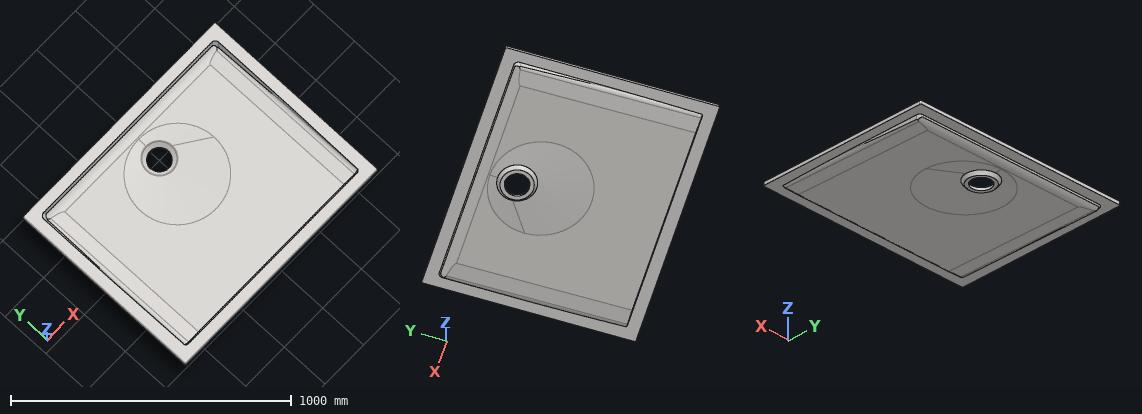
import cadquery as cq
import math

LENGTH = 1000.0
WIDTH = 800.0
HEIGHT = 55.0
RIM_THICKNESS = 18.0
RIM_CORNER_RADIUS = 6.0
RIM_TOP_RADIUS = 3.0
SHELL_THICKNESS = 12.0
SIDE_WALL_GROWTH = 8.0

OPENING_LENGTH = 906.0
OPENING_WIDTH = 710.0
OPENING_CORNER_RADIUS = 20.0
WALL_DRAFT = 30.0
DRAFT_RUN = math.tan(math.radians(WALL_DRAFT))
FRONT_Y = -OPENING_WIDTH / 2
BACK_Y = OPENING_WIDTH / 2

FRONT_DEPTH = 13.0
FLOOR_SLOPE = 0.018
FLAT_HALF_LENGTH = 377.0
SIDE_STRIP_END = 430.0
SIDE_STRIP_RISE = 3.0
SIDE_BLEND_WIDTH = 18.0
SIDE_BLEND_RISE = 8.0
SIDE_BLEND_SAG = 2.0

BLEND_START_Y = 304.0
BLEND_END_DEPTH = 13.0
BLEND_END_Y = BACK_Y - BLEND_END_DEPTH * DRAFT_RUN
BLEND_SAG = 3.5

DISH_RADIUS = 190.0
DISH_Y = 112.0
DISH_BOTTOM_RADIUS = 64.0
DISH_BOTTOM_DEPTH = 28.0

DRAIN_Y = 200.0
DRAIN_EDGE_RADIUS = 6.0
DRAIN_LIP_DEPTH = 43.0
DRAIN_HOLE_RADIUS = 45.0
BOSS_TOP_RADIUS = 73.0
BOSS_BOTTOM_RADIUS = 61.0
BOSS_TOP_DEPTH = DISH_BOTTOM_DEPTH + SHELL_THICKNESS

MARGIN = 50.0


def floor_z(y):
    """Height of the middle of the floor at the given Y."""
    return -FRONT_DEPTH - FLOOR_SLOPE * (y - FRONT_Y)


def arc_middle(start, end, sag):
    """Middle of an arc that bulges to the right of the line from start to end."""
    chord = math.dist(start, end)
    return (
        (start[0] + end[0]) / 2 + sag * (end[1] - start[1]) / chord,
        (start[1] + end[1]) / 2 - sag * (end[0] - start[0]) / chord,
    )


def drafted_opening(side_growth):
    """Rounded rectangle, narrowing downwards, that bounds the recess walls."""
    return (
        cq.Workplane("XY")
        .rect(OPENING_LENGTH + 2 * side_growth, OPENING_WIDTH)
        .extrude(-HEIGHT, taper=WALL_DRAFT)
        .edges("not(|X or |Y)")
        .fillet(OPENING_CORNER_RADIUS)
    )


def lengthwise_floor():
    """Space above the floor seen along X: sloping floor, back blend and back wall."""
    start = (BLEND_START_Y, floor_z(BLEND_START_Y))
    end = (BLEND_END_Y, -BLEND_END_DEPTH)
    wall_top = (end[0] + MARGIN * DRAFT_RUN, end[1] + MARGIN)
    front = FRONT_Y - MARGIN
    return (
        cq.Workplane("YZ")
        .moveTo(front, floor_z(front))
        .lineTo(*start)
        .threePointArc(arc_middle(start, end, BLEND_SAG), end)
        .lineTo(*wall_top)
        .lineTo(front, wall_top[1])
        .close()
        .extrude(LENGTH / 2, both=True)
    )


def crosswise_floor(side_growth):
    """Space above the floor seen along the slope: flat middle, rising side strips and side blends."""
    front = FRONT_Y - MARGIN
    sloped = cq.Plane(origin=(0, front, floor_z(front)), xDir=(1, 0, 0), normal=(0, -1, FLOOR_SLOPE))
    start = (SIDE_STRIP_END + side_growth, SIDE_STRIP_RISE)
    end = (start[0] + SIDE_BLEND_WIDTH, start[1] + SIDE_BLEND_RISE)
    wall_top = (end[0] + MARGIN * DRAFT_RUN, end[1] + MARGIN)
    half = (
        cq.Workplane(sloped)
        .lineTo(FLAT_HALF_LENGTH, 0)
        .lineTo(*start)
        .threePointArc(arc_middle(start, end, SIDE_BLEND_SAG), end)
        .lineTo(*wall_top)
        .lineTo(0, wall_top[1])
        .close()
        .extrude(-WIDTH - 2 * MARGIN)
    )
    return half.union(half.mirror("YZ"))


def dish():
    """Skewed cone from a circle on the sloping floor down to the drain."""
    rim = cq.Wire.makeCircle(
        DISH_RADIUS, cq.Vector(0, DISH_Y, floor_z(DISH_Y)), cq.Vector(0, FLOOR_SLOPE, 1)
    )
    bottom = cq.Wire.makeCircle(
        DISH_BOTTOM_RADIUS, cq.Vector(0, DRAIN_Y, -DISH_BOTTOM_DEPTH), cq.Vector(0, 0, 1)
    )
    return cq.Workplane(cq.Solid.makeLoft([rim, bottom], True))


def recess(side_growth):
    """Full recess of the tray, with its X side walls moved outwards by side_growth."""
    return (
        drafted_opening(side_growth)
        .intersect(lengthwise_floor())
        .intersect(crosswise_floor(side_growth))
        .union(dish())
    )


def drain_cone(top_radius, top_z, bottom_radius, bottom_z):
    """Upright cone centred on the drain, narrowing downwards."""
    cone = cq.Solid.makeCone(
        top_radius, bottom_radius, top_z - bottom_z, cq.Vector(0, DRAIN_Y, top_z), cq.Vector(0, 0, -1)
    )
    return cq.Workplane(cone)


rim = (
    cq.Workplane("XY")
    .box(LENGTH, WIDTH, RIM_THICKNESS, centered=(True, True, False))
    .translate((0, 0, -RIM_THICKNESS))
    .edges("|Z")
    .fillet(RIM_CORNER_RADIUS)
    .faces(">Z")
    .edges()
    .fillet(RIM_TOP_RADIUS)
)

underside = recess(SIDE_WALL_GROWTH).translate((0, 0, -SHELL_THICKNESS))

boss = drain_cone(BOSS_TOP_RADIUS, -BOSS_TOP_DEPTH, BOSS_BOTTOM_RADIUS, -HEIGHT)

funnel = drain_cone(DISH_BOTTOM_RADIUS, -DISH_BOTTOM_DEPTH, DRAIN_HOLE_RADIUS, -DRAIN_LIP_DEPTH)
drain_hole = (
    cq.Workplane("XY")
    .center(0, DRAIN_Y)
    .circle(DRAIN_HOLE_RADIUS)
    .extrude(-HEIGHT - MARGIN)
)

tray = rim.union(underside).union(boss).cut(recess(0)).cut(funnel).cut(drain_hole)

drain_edge_point = (0, DRAIN_Y - DISH_BOTTOM_RADIUS, -DISH_BOTTOM_DEPTH)
result = tray.edges(cq.selectors.NearestToPointSelector(drain_edge_point)).fillet(DRAIN_EDGE_RADIUS)